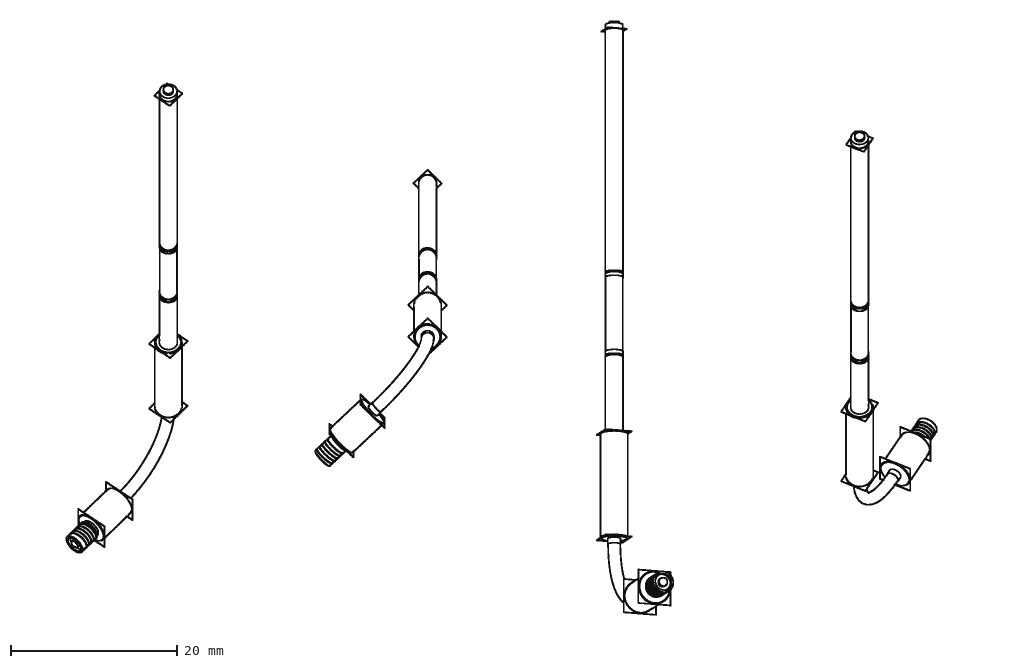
import cadquery as cq


flange_thickness = 0.04
flange_inset = 0.015

cable_diameter = 1.5
bend_radius = 8.6
collar_diameter = 1.6
collar_length = 0.7
collar_taper_length = 0.2
collar_taper_depth = 0.03

head_flange_side = 4.1
head_diameter = 4.0
head_length = 5.3
head_chamfer = 0.1
head_rear = bend_radius + collar_length
head_reach = 17.7
neck_diameter = 2.25
neck_length = 0.4
nose_diameter = 2.55
nose_start = head_length + neck_length
nose_length = head_reach - head_rear - nose_start
thread_pitch = 0.45
thread_turns = 5
thread_depth = 0.06
thread_width = 0.06
socket_diameter = 2.0
socket_depth = 0.4
pin_diameter = 1.05

sleeve_diameter = 3.3
sleeve_flange_side = sleeve_diameter
sleeve_chamfer = 0.15
sleeve_length = 13.1
sleeve_bottom = bend_radius + collar_length
sleeve_top = sleeve_bottom + sleeve_length

overall_height = 75.1
rod_end = overall_height - head_flange_side / 2
rod_diameter = 2.2
rod_flange_side = 2.4
tip_diameter = 2.1
tip_length = 0.7
button_diameter = 1.2
button_height = 0.3
tip_bottom = rod_end - button_height - tip_length

band_diameter = 2.1
band_length = 10.1
band_bottom = 31.9
band_rim_diameter = rod_diameter
band_rim_length = 0.45
band_bore = 1.05
groove_width = 0.19
groove_diameter = 2.0


def disc(diameter, bottom, height):
    return cq.Workplane("XY").workplane(offset=bottom).circle(diameter / 2).extrude(height)


def ring(outer_diameter, inner_diameter, bottom, height):
    return disc(outer_diameter, bottom, height).cut(disc(inner_diameter, bottom, height))


def flange(side, bottom):
    return cq.Workplane("XY").workplane(offset=bottom).rect(side, side).extrude(flange_thickness)


def flanged_cylinder(diameter, length, chamfer, flange_side):
    body = disc(diameter, 0, length).edges().chamfer(chamfer)
    for bottom in (flange_inset, length - flange_inset - flange_thickness):
        body = body.union(flange(flange_side, bottom))
    return body


def thread_groove():
    """Helical V-groove that starts half a pitch above the foot of the nose."""
    radius = nose_diameter / 2
    helix = cq.Wire.makeHelix(thread_pitch, thread_turns * thread_pitch, radius)
    profile = [
        (radius - thread_depth, 0),
        (radius + thread_depth, -thread_width),
        (radius + thread_depth, thread_width),
    ]
    groove = cq.Workplane("XZ").polyline(profile).close().sweep(cq.Workplane(helix), isFrenet=True)
    return groove.translate((0, 0, nose_start + thread_pitch / 2))


def make_head():
    """Head built upright, then laid down so that its nose points along -Y."""
    socket_floor = nose_start + nose_length - socket_depth
    nose = disc(nose_diameter, nose_start, nose_length).cut(thread_groove())
    nose = nose.cut(ring(socket_diameter, pin_diameter, socket_floor, socket_depth))
    body = flanged_cylinder(head_diameter, head_length, head_chamfer, head_flange_side)
    body = body.union(disc(neck_diameter, head_length, neck_length)).union(nose)
    return body.rotate((0, 0, 0), (1, 0, 0), 90).translate((0, -head_rear, 0))


def make_cable():
    path = (
        cq.Workplane("YZ")
        .moveTo(0, sleeve_bottom)
        .lineTo(0, bend_radius)
        .radiusArc((-bend_radius, 0), bend_radius)
        .lineTo(-head_rear, 0)
    )
    start = cq.Workplane("XY").workplane(offset=sleeve_bottom).circle(cable_diameter / 2)
    cable = start.sweep(path)
    collar = disc(collar_diameter, 0, collar_length)
    collar = collar.faces(">Z").chamfer(collar_taper_length, collar_taper_depth)
    sleeve_end = collar.rotate((0, 0, 0), (1, 0, 0), 180).translate((0, 0, sleeve_bottom))
    head_end = collar.rotate((0, 0, 0), (1, 0, 0), -90).translate((0, -head_rear, 0))
    return cable.union(sleeve_end).union(head_end)


def make_sleeve():
    sleeve = flanged_cylinder(sleeve_diameter, sleeve_length, sleeve_chamfer, sleeve_flange_side)
    return sleeve.translate((0, 0, sleeve_bottom))


def make_rod():
    rod = disc(rod_diameter, sleeve_top, tip_bottom - sleeve_top)
    rod = rod.union(flange(rod_flange_side, tip_bottom - flange_thickness))
    rod = rod.union(disc(tip_diameter, tip_bottom, tip_length))
    rod = rod.union(disc(button_diameter, tip_bottom + tip_length, button_height))
    for bottom in (band_bottom - groove_width, band_bottom + band_length):
        rod = rod.cut(ring(rod_diameter, groove_diameter, bottom, groove_width))
    return rod.cut(ring(rod_diameter, band_bore, band_bottom, band_length))


def make_band():
    band = disc(band_diameter, band_bottom, band_length)
    for bottom in (band_bottom, band_bottom + band_length - band_rim_length):
        band = band.union(disc(band_rim_diameter, bottom, band_rim_length))
    return band.cut(disc(band_bore, band_bottom, band_length))


head = make_head()
cable = make_cable()
sleeve = make_sleeve()
rod = make_rod()
band = make_band()

result = cq.Compound.makeCompound([head.val(), cable.val(), sleeve.val(), rod.val(), band.val()])